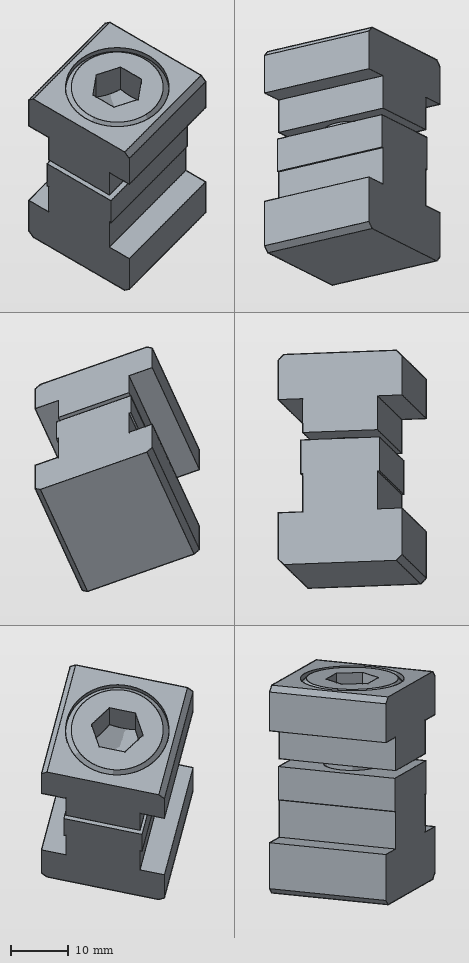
import cadquery as cq
import math

height = 37.3
width = 22.0
edge_chamfer = 1.0

lower_flange_top = 9.25
guide_bottom = 16.0
lower_block_top = 22.0
upper_block_bottom = 23.3
upper_flange_bottom = 29.3

stem_width = 13.28
guide_width = 14.0

shank_diameter = 10.0
head_diameter = 18.0
head_chamfer = 1.0
hex_across_flats = 8.0
hex_depth = 5.95
tip_half_angle = math.radians(60)


def block(block_width, bottom, top):
    """Block centred on the Z axis, running the full depth in Y."""
    return (
        cq.Workplane("XY")
        .workplane(offset=bottom)
        .rect(block_width, width)
        .extrude(top - bottom)
    )


def lower_block():
    flange = block(width, 0, lower_flange_top).edges("|Y and <Z").chamfer(edge_chamfer)
    stem = block(stem_width, lower_flange_top, guide_bottom)
    guide = block(guide_width, guide_bottom, lower_block_top)
    return flange.union(stem).union(guide)


def upper_block():
    flange = block(width, upper_flange_bottom, height).edges("|Y and >Z").chamfer(edge_chamfer)
    stem = block(stem_width, upper_block_bottom, upper_flange_bottom)
    return flange.union(stem)


def shank():
    """Exposed length of screw joining the two blocks."""
    return (
        cq.Workplane("XY")
        .workplane(offset=lower_block_top)
        .circle(shank_diameter / 2)
        .extrude(upper_block_bottom - lower_block_top)
    )


def head_groove():
    """V-groove between the chamfered, flush screw head and its counterbore."""
    outer_radius = head_diameter / 2
    return (
        cq.Workplane("XZ")
        .moveTo(outer_radius - head_chamfer, height)
        .lineTo(outer_radius, height)
        .lineTo(outer_radius, height - head_chamfer)
        .close()
        .revolve(360, (0, 0, 0), (0, 1, 0))
    )


def hex_socket():
    """Hexagonal socket whose floor is a cone meeting the six corners at the hex depth."""
    across_corners = hex_across_flats / math.cos(math.pi / 6)
    tip_depth = across_corners / 2 / math.tan(tip_half_angle)
    total_depth = hex_depth + tip_depth
    hexagon = (
        cq.Workplane("XY")
        .workplane(offset=height - total_depth)
        .polygon(6, across_corners)
        .extrude(total_depth)
    )
    apex = cq.Vector(0, 0, height - total_depth)
    mouth_radius = total_depth * math.tan(tip_half_angle)
    drill_point = cq.Solid.makeCone(0, mouth_radius, total_depth, apex, cq.Vector(0, 0, 1))
    return hexagon.intersect(cq.Workplane(drill_point))


body = lower_block().union(shank()).union(upper_block())
result = body.cut(head_groove()).cut(hex_socket())